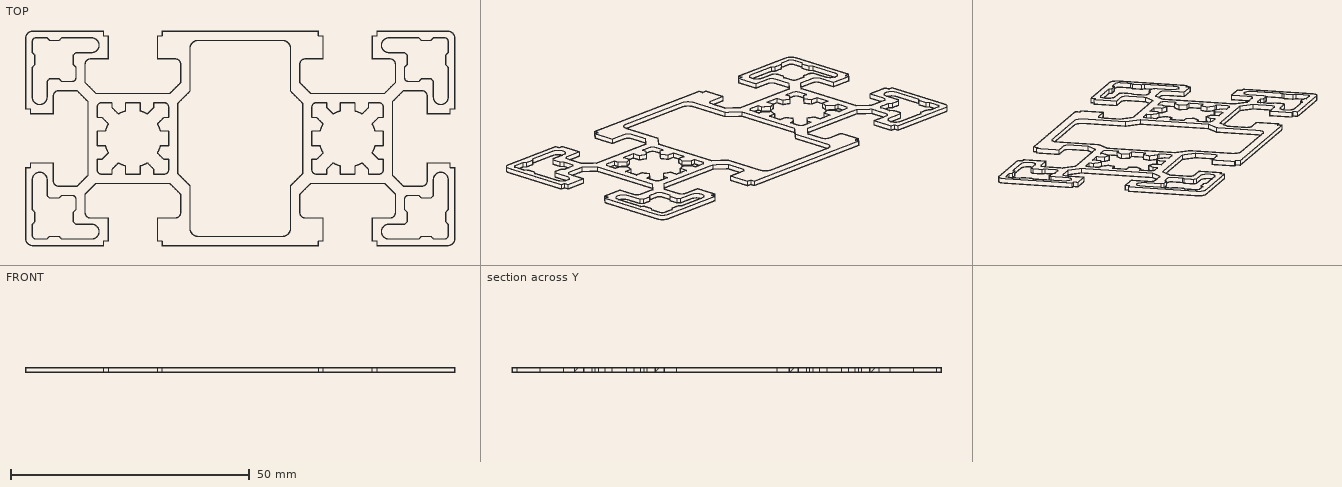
import cadquery as cq
import math

cell = 45.0
half = cell / 2
length = 2 * cell
thickness = 1.0
corner_radius = 1.5

wall = 2.0
skin = 1.4

mouth_half = 5.1
mouth_step = 1.0
lip_depth = 5.85
slot_half = 10.0
slot_bevel = 2.25
slot_radius = 1.1

core_outer_half = 9.45
core_half = core_outer_half - wall
core_radius = 0.9

bore_radius = 5.9
tooth_near = 1.5
tooth_far = 4.4
tooth_shoulder = 6.5

arm_width = 3.1
arm_end = half - mouth_half - wall
pocket_far = half - slot_half - wall
pocket_radius = 0.7
ridge_height = 0.5
ridge_width = 3.1

window_half_x = half - slot_half - wall
window_half_y = half - wall
window_waist_x = half - core_outer_half
window_bevel = window_waist_x - window_half_x
window_waist_y = 7.4
window_radius = 1.7

cell_centers = [(-half, 0), (half, 0)]
quarter_turns = [0, 90, 180, 270]


def turned(body, angle):
    return body.rotate((0, 0, 0), (0, 0, 1), angle)


def swap_axes(body):
    """Mirror a body about the diagonal x = y."""
    return turned(body.mirror("YZ"), -90)


def prism(points):
    return cq.Workplane("XY").polyline(points).close().extrude(thickness)


def block(x0, y0, x1, y1):
    """Box of full thickness between two opposite corners."""
    return prism([(x0, y0), (x1, y0), (x1, y1), (x0, y1)])


def make_plate():
    plate = cq.Workplane("XY").rect(length, cell).extrude(thickness)
    return plate.edges("|Z").fillet(corner_radius)


def make_slot():
    """T-slot cutter opening at +Y of a cell centred on the origin."""
    lip_y = half - lip_depth
    bottom_y = core_outer_half
    cavity = block(-slot_half, bottom_y, slot_half, lip_y)
    cavity = cavity.edges("|Z and <Y").chamfer(slot_bevel)
    cavity = cavity.edges("|Z and >Y").fillet(slot_radius)
    mouth = block(-mouth_half, bottom_y, mouth_half, half)
    step_half = mouth_half + mouth_step
    step = block(-step_half, half - mouth_step, step_half, half)
    return cavity.union(mouth).union(step)


def make_tooth():
    """Tooth on the +Y core wall, right of the centreline, ending on the bore circle."""
    slope_offset = tooth_shoulder - tooth_far
    tip_x = (math.sqrt(2 * bore_radius**2 - slope_offset**2) - slope_offset) / 2
    tip_y = tip_x + slope_offset
    near_y = math.sqrt(bore_radius**2 - tooth_near**2)
    middle_x = (tip_x + tooth_near) / 2
    middle_y = math.sqrt(bore_radius**2 - middle_x**2)
    return (
        cq.Workplane("XY")
        .moveTo(tooth_near, core_half)
        .lineTo(tooth_far, core_half)
        .lineTo(tooth_far, tooth_shoulder)
        .lineTo(tip_x, tip_y)
        .threePointArc((middle_x, middle_y), (tooth_near, near_y))
        .close()
        .extrude(thickness)
    )


def make_core():
    """Square chamber cutter with a pair of teeth left on each wall."""
    core = block(-core_half, -core_half, core_half, core_half)
    core = core.edges("|Z").fillet(core_radius)
    right_tooth = make_tooth()
    left_tooth = right_tooth.mirror("YZ")
    for angle in quarter_turns:
        core = core.cut(turned(right_tooth, angle)).cut(turned(left_tooth, angle))
    return core


def make_ridges():
    """Ridges on the two pocket walls that run along X."""
    start = skin + arm_width
    end = start + ridge_width
    top_start = start + ridge_height
    top_end = end - ridge_height

    def ridge(base, crest):
        return prism([(start, base), (end, base), (top_end, crest), (top_start, crest)])

    outer_ridge = ridge(skin, skin + ridge_height)
    inner_ridge = ridge(pocket_far, pocket_far - ridge_height)
    return outer_ridge.union(inner_ridge)


def make_arm():
    """Round-ended pocket arm reaching along X under the slot lip."""
    end_radius = arm_width / 2
    round_x = arm_end - end_radius
    straight = block(skin, skin, round_x, skin + arm_width)
    round_end = cq.Workplane("XY").center(round_x, skin + end_radius).circle(end_radius).extrude(thickness)
    return straight.union(round_end)


def make_pocket():
    """Corner pocket cutter, with the outer corner of the profile at the origin."""
    arm = make_arm()
    pocket = block(skin, skin, pocket_far, pocket_far)
    pocket = pocket.union(arm).union(swap_axes(arm))
    for corner in (skin, pocket_far):
        nearest = cq.selectors.NearestToPointSelector((corner, corner, thickness / 2))
        pocket = pocket.edges("|Z").edges(nearest).fillet(pocket_radius)
    ridges = make_ridges()
    return pocket.cut(ridges).cut(swap_axes(ridges))


def make_window():
    """Central window, widened to a waist between the two core chambers."""
    window = block(-window_half_x, -window_half_y, window_half_x, window_half_y)
    window = window.edges("|Z").fillet(window_radius)
    bevel_y = window_waist_y + window_bevel
    side = [
        (window_half_x, bevel_y),
        (window_waist_x, window_waist_y),
        (window_waist_x, -window_waist_y),
        (window_half_x, -bevel_y),
    ]
    opposite_side = [(-x, -y) for x, y in side]
    return window.union(prism(side + opposite_side))


result = make_plate().cut(make_window())

slot = make_slot()
core = make_core()
for center_x, center_y in cell_centers:
    outward = 90 if center_x < 0 else -90
    for angle in (0, 180, outward):
        result = result.cut(turned(slot, angle).translate((center_x, center_y, 0)))
    result = result.cut(core.translate((center_x, center_y, 0)))

pocket = make_pocket().translate((-cell, -half, 0))
for body in (pocket, pocket.mirror("YZ")):
    result = result.cut(body).cut(body.mirror("XZ"))